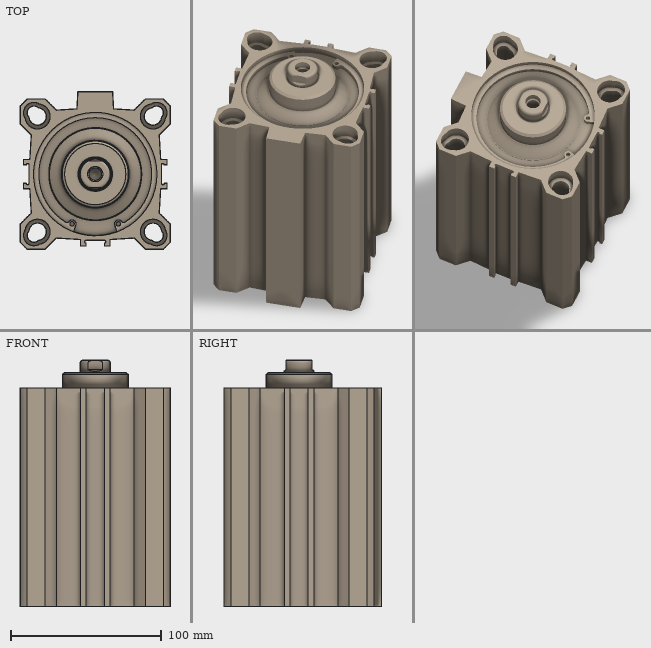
import cadquery as cq
import math


TOTAL_HEIGHT = 164.0
HOUSING_HEIGHT = 145.6
HALF_SIDE = 50.0

LUG_CHAMFER = 4.8
LUG_FLAT_END = 33.3
WALL_LOW = 42.6
WALL_CORNER = LUG_FLAT_END - (HALF_SIDE - WALL_LOW)
WALL_HIGH = 43.6

RAIL_OUTER = 9.8
RAIL_WIDTH = 3.8
RAIL_TOP = 47.9
LIP_HEIGHT = 2.0
GROOVE_FLOOR = 44.1

BOSS_TOP = 55.0
BOSS_TOP_WIDTH = 23.3
BOSS_ROOT_WIDTH = 24.6

SCREW_OFFSET = 38.4
RELIEF_OFFSET = 40.8
SCREW_HOLE_D = 11.5
SCREW_RELIEF_D = 8.9
SEAT_D = 16.7
SEAT_RELIEF_D = 13.8
SEAT_DEPTH = 9.0

BORE_D = 81.7
MOUTH_D = 82.2
RING_OUTER_D = 85.6
RING_INNER_D = 75.1
RING_THICKNESS = 3.0
RING_TOP = HOUSING_HEIGHT - 3.5
RING_BOTTOM = RING_TOP - RING_THICKNESS
RING_GAP_HALF_ANGLE = 20.7
EAR_X = 15.4
EAR_Y = -33.1
EAR_D = 5.2
EAR_HOLE_D = 3.0
EAR_FILLET = 1.6

COVER_THICKNESS = 24.6
COVER_BOTTOM = RING_BOTTOM - COVER_THICKNESS
LAND_D = 62.0
LAND_HEIGHT = 0.3
CONE_BASE_D = 61.0
CONE_TOP_D = 45.1
LAND_Z = RING_BOTTOM + LAND_HEIGHT
CONE_TOP_Z = HOUSING_HEIGHT - 1.3

ROD_D = 44.0
ROD_TOP = 155.8
ROD_CHAMFER_WIDTH = 1.6
ROD_CHAMFER_HEIGHT = 1.3
STUD_D = 20.0
STUD_FILLET = 1.8
FLAT_WIDTH = 17.5
FLAT_BOTTOM = 157.8
STUD_ROOT_D = 20.7
RELIEF_D = 22.0
RELIEF_MOUTH_D = 23.0
RELIEF_DEPTH = 1.6
THREAD_MOUTH_D = 10.2
THREAD_MOUTH_DEPTH = 4.6
THREAD_D = 8.4
THREAD_DEPTH = 19.7
DRILL_HALF_ANGLE = 59.0


def cylinder(diameter, bottom, top):
    return cq.Workplane("XY").workplane(offset=bottom).circle(diameter / 2).extrude(top - bottom)


def prism(points):
    """Full-height housing prism over a closed outline."""
    return cq.Workplane("XY").polyline(points).close().extrude(HOUSING_HEIGHT)


def make_housing_block():
    """Square section with four corner lugs and slightly bowed walls; one side is turned four times."""
    side = [
        (-HALF_SIDE + LUG_CHAMFER, HALF_SIDE),
        (-LUG_FLAT_END, HALF_SIDE),
        (-WALL_CORNER, WALL_LOW),
        (-RAIL_OUTER, WALL_HIGH),
        (RAIL_OUTER, WALL_HIGH),
        (WALL_CORNER, WALL_LOW),
        (LUG_FLAT_END, HALF_SIDE),
        (HALF_SIDE - LUG_CHAMFER, HALF_SIDE),
    ]
    outline = []
    for _ in range(4):
        outline += side
        side = [(y, -x) for x, y in side]
    return prism(outline)


def make_rail_pair():
    """Facing rails with half-round undercuts on a thin wall pad, built on the -Y side."""
    inner = RAIL_OUTER - RAIL_WIDTH
    lip = RAIL_TOP - LIP_HEIGHT
    undercut_radius = (lip - GROOVE_FLOOR) / 2
    undercut_x = inner + undercut_radius
    undercut_y = -(lip + GROOVE_FLOOR) / 2
    return (
        cq.Workplane("XY")
        .moveTo(RAIL_OUTER, -WALL_LOW)
        .lineTo(RAIL_OUTER, -RAIL_TOP)
        .lineTo(inner, -RAIL_TOP)
        .lineTo(inner, -lip)
        .threePointArc((undercut_x, undercut_y), (inner, -GROOVE_FLOOR))
        .lineTo(-inner, -GROOVE_FLOOR)
        .threePointArc((-undercut_x, undercut_y), (-inner, -lip))
        .lineTo(-inner, -RAIL_TOP)
        .lineTo(-RAIL_OUTER, -RAIL_TOP)
        .lineTo(-RAIL_OUTER, -WALL_LOW)
        .close()
        .extrude(HOUSING_HEIGHT)
    )


def make_port_boss():
    return prism([
        (-BOSS_ROOT_WIDTH / 2, WALL_LOW),
        (-BOSS_TOP_WIDTH / 2, BOSS_TOP),
        (BOSS_TOP_WIDTH / 2, BOSS_TOP),
        (BOSS_ROOT_WIDTH / 2, WALL_LOW),
    ])


def make_screw_hole(x_sign, y_sign):
    """Through hole and counterbore of one corner, each a union of two circles on the diagonal."""
    seat_z = HOUSING_HEIGHT - SEAT_DEPTH
    circles = [
        (SCREW_OFFSET, SCREW_HOLE_D, 0),
        (RELIEF_OFFSET, SCREW_RELIEF_D, 0),
        (SCREW_OFFSET, SEAT_D, seat_z),
        (RELIEF_OFFSET, SEAT_RELIEF_D, seat_z),
    ]
    hole = cq.Workplane("XY")
    for offset, diameter, bottom in circles:
        cut = cylinder(diameter, bottom, HOUSING_HEIGHT)
        hole = hole.add(cut.translate((x_sign * offset, y_sign * offset, 0)))
    return hole.combine()


def make_housing():
    housing = make_housing_block().union(make_port_boss())
    for angle in (-90, 0, 90):
        housing = housing.union(make_rail_pair().rotate((0, 0, 0), (0, 0, 1), angle))
    for x_sign in (-1, 1):
        for y_sign in (-1, 1):
            housing = housing.cut(make_screw_hole(x_sign, y_sign))
    housing = housing.cut(cylinder(BORE_D, COVER_BOTTOM, RING_BOTTOM))
    housing = housing.cut(cylinder(RING_OUTER_D, RING_BOTTOM, RING_TOP))
    return housing.cut(cylinder(MOUTH_D, RING_TOP, HOUSING_HEIGHT))


def make_cover():
    """Disc with a raised cone around the rod."""
    return (
        cq.Workplane("XZ")
        .moveTo(ROD_D / 2, COVER_BOTTOM)
        .lineTo(BORE_D / 2, COVER_BOTTOM)
        .lineTo(BORE_D / 2, RING_BOTTOM)
        .lineTo(LAND_D / 2, RING_BOTTOM)
        .lineTo(LAND_D / 2, LAND_Z)
        .lineTo(CONE_BASE_D / 2, LAND_Z)
        .lineTo(CONE_TOP_D / 2, CONE_TOP_Z)
        .lineTo(ROD_D / 2, CONE_TOP_Z)
        .close()
        .revolve(360, (0, 0, 0), (0, 1, 0))
    )


def make_snap_ring():
    """Open ring with a drilled plier ear at each end."""
    ring = cylinder(RING_OUTER_D, RING_BOTTOM, RING_TOP).cut(cylinder(RING_INNER_D, RING_BOTTOM, RING_TOP))
    gap_depth = RING_OUTER_D
    gap_half_width = gap_depth * math.tan(math.radians(RING_GAP_HALF_ANGLE))
    gap = (
        cq.Workplane("XY")
        .workplane(offset=RING_BOTTOM)
        .polyline([(0, 0), (-gap_half_width, -gap_depth), (gap_half_width, -gap_depth)])
        .close()
        .extrude(RING_THICKNESS)
    )
    ring = ring.cut(gap)
    inner_radius = RING_INNER_D / 2
    ear_distance = math.hypot(EAR_X, EAR_Y)
    cos_to_corner = (inner_radius**2 + ear_distance**2 - (EAR_D / 2) ** 2) / (2 * inner_radius * ear_distance)
    corner_angle = math.atan2(EAR_X, -EAR_Y) + math.acos(cos_to_corner)
    corner_x = inner_radius * math.sin(corner_angle)
    corner_y = -inner_radius * math.cos(corner_angle)
    corner_z = (RING_BOTTOM + RING_TOP) / 2
    for side in (-1, 1):
        ear_place = (side * EAR_X, EAR_Y, 0)
        ring = ring.union(cylinder(EAR_D, RING_BOTTOM, RING_TOP).translate(ear_place))
        corner = cq.selectors.NearestToPointSelector((side * corner_x, corner_y, corner_z))
        ring = ring.edges("|Z").edges(corner).fillet(EAR_FILLET)
        ring = ring.cut(cylinder(EAR_HOLE_D, RING_BOTTOM, RING_TOP).translate(ear_place))
    return ring


def make_threaded_hole():
    """Stepped blind hole with conical step and drill point."""
    slope = math.tan(math.radians(DRILL_HALF_ANGLE))
    mouth_z = TOTAL_HEIGHT - THREAD_MOUTH_DEPTH
    step_z = mouth_z - (THREAD_MOUTH_D - THREAD_D) / 2 / slope
    floor_z = TOTAL_HEIGHT - THREAD_DEPTH
    tip_z = floor_z - THREAD_D / 2 / slope
    return (
        cq.Workplane("XZ")
        .moveTo(0, TOTAL_HEIGHT)
        .lineTo(THREAD_MOUTH_D / 2, TOTAL_HEIGHT)
        .lineTo(THREAD_MOUTH_D / 2, mouth_z)
        .lineTo(THREAD_D / 2, step_z)
        .lineTo(THREAD_D / 2, floor_z)
        .lineTo(0, tip_z)
        .close()
        .revolve(360, (0, 0, 0), (0, 1, 0))
    )


def make_wrench_flat():
    """Cutter for the +Y flat, running out downwards at 45 degrees."""
    flat_y = FLAT_WIDTH / 2
    reach = STUD_D / 2
    return (
        cq.Workplane("YZ")
        .polyline([
            (flat_y, TOTAL_HEIGHT),
            (flat_y, FLAT_BOTTOM),
            (reach, FLAT_BOTTOM - (reach - flat_y)),
            (reach, TOTAL_HEIGHT),
        ])
        .close()
        .extrude(reach, both=True)
    )


def make_rod():
    """Rod and stud turned from one profile, then flatted and drilled."""
    groove_z = ROD_TOP - RELIEF_DEPTH
    mouth_chamfer = (RELIEF_MOUTH_D - RELIEF_D) / 2
    root_chamfer = (STUD_ROOT_D - STUD_D) / 2
    fillet_middle = STUD_FILLET * (1 - math.sqrt(0.5))
    rod = (
        cq.Workplane("XZ")
        .moveTo(0, COVER_BOTTOM)
        .lineTo(ROD_D / 2, COVER_BOTTOM)
        .lineTo(ROD_D / 2, ROD_TOP - ROD_CHAMFER_HEIGHT)
        .lineTo(ROD_D / 2 - ROD_CHAMFER_WIDTH, ROD_TOP)
        .lineTo(RELIEF_MOUTH_D / 2, ROD_TOP)
        .lineTo(RELIEF_D / 2, ROD_TOP - mouth_chamfer)
        .lineTo(RELIEF_D / 2, groove_z)
        .lineTo(STUD_ROOT_D / 2, groove_z)
        .lineTo(STUD_D / 2, groove_z + root_chamfer)
        .lineTo(STUD_D / 2, TOTAL_HEIGHT - STUD_FILLET)
        .threePointArc(
            (STUD_D / 2 - fillet_middle, TOTAL_HEIGHT - fillet_middle),
            (STUD_D / 2 - STUD_FILLET, TOTAL_HEIGHT),
        )
        .lineTo(0, TOTAL_HEIGHT)
        .close()
        .revolve(360, (0, 0, 0), (0, 1, 0))
    )
    flat = make_wrench_flat()
    return rod.cut(flat).cut(flat.mirror("XZ")).cut(make_threaded_hole())


housing = make_housing()
cover = make_cover()
snap_ring = make_snap_ring()
rod = make_rod()

result = cq.Compound.makeCompound([housing.val(), cover.val(), snap_ring.val(), rod.val()])